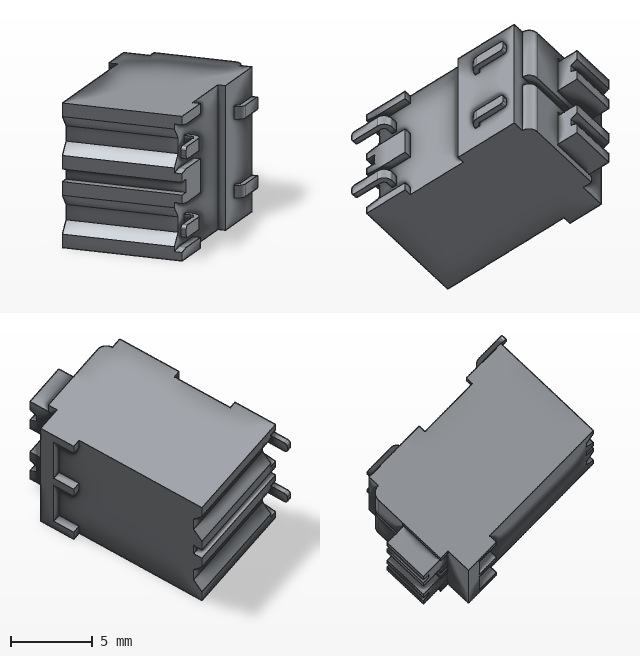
import cadquery as cq
import math


height = 9.2
body_width = 7.87
body_length = 11.59
cell_pitch = 5.0
cell_height = height - cell_pitch
cell_centers = (-cell_pitch / 2, cell_pitch / 2)
cell_gap = cell_pitch - cell_height

channel_depth = 0.62
channel_floor = 0.98
channel_slope = 0.75
channel_mouth = channel_floor + 2 * channel_slope

rail_thickness = 0.58
rail_front = 9.13
rail_window_end = 10.63
rail_outer_finger = 0.69
rail_middle_finger = 0.7
window_height = (height - 2 * rail_outer_finger - rail_middle_finger) / 2
window_offset = (rail_middle_finger + window_height) / 2

side_depth = 0.5
side_floor = body_width - side_depth
notch_front = 3.02
notch_back = 7.18

slot_height = 2.83
slot_flare = 0.137
pin_slot_taper = 0.72
lever_slot_curve = 0.23

boss_left = 1.16
boss_right = 7.07
boss_end = 12.24
boss_length = boss_end - body_length
lever_gap = 0.09
lever_left = boss_left + lever_gap
lever_width = 3.08
lever_right = lever_left + lever_width
lever_height = 2.66
lever_end = 13.66
lever_notch_depth = 0.47
lever_notch_mouth = 1.04
lever_notch_floor = 0.53

pin_outer_x = 8.43
pin_thickness = 0.35
pin_height = 0.8
pin_tip_round = 0.23
front_pin_root = 1.94
front_pin_tip = -0.72
front_pin_bend = 0.63
rear_pin_root = 8.55
rear_pin_tip = 11.17
rear_pin_bend = 0.52


def block(x0, x1, y0, y1, z0, z1):
    """Box between two opposite corners."""
    return cq.Workplane("XY").box(x1 - x0, y1 - y0, z1 - z0, centered=False).translate((x0, y0, z0))


def centered_block(x0, x1, y0, y1, z_mid, z_size):
    """Box given by its X and Y ranges and its height about a middle level."""
    return block(x0, x1, y0, y1, z_mid - z_size / 2, z_mid + z_size / 2)


def prism(profile, x0, x1):
    """Extrude a closed YZ profile from x0 to x1."""
    return profile.extrude(x1 - x0).translate((x0, 0, 0))


def front_channel(z_mid):
    """Trapezoidal channel along X in the front face."""
    profile = (
        cq.Workplane("YZ")
        .moveTo(0, z_mid - channel_mouth / 2)
        .lineTo(channel_depth, z_mid - channel_floor / 2)
        .lineTo(channel_depth, z_mid + channel_floor / 2)
        .lineTo(0, z_mid + channel_mouth / 2)
        .close()
    )
    return prism(profile, 0, body_width)


def pin_slot(z_mid):
    """Slot along Y for a front pin, narrowing from the front face and then straight up to the notch."""
    half = slot_height / 2
    half_mouth = half + slot_flare
    profile = (
        cq.Workplane("YZ")
        .moveTo(0, z_mid - half_mouth)
        .lineTo(pin_slot_taper, z_mid - half)
        .lineTo(notch_front, z_mid - half)
        .lineTo(notch_front, z_mid + half)
        .lineTo(pin_slot_taper, z_mid + half)
        .lineTo(0, z_mid + half_mouth)
        .close()
    )
    return prism(profile, side_floor, body_width)


def lever_slot(z_mid):
    """Slot around a lever whose upper and lower walls curve outward at the back."""
    half = slot_height / 2
    half_mouth = half + slot_flare
    curve_start = boss_end - lever_slot_curve
    upper_half = (
        cq.Workplane("YZ")
        .moveTo(body_length, 0)
        .lineTo(body_length, half)
        .lineTo(curve_start, half)
        .tangentArcPoint((boss_end, half_mouth), relative=False)
        .lineTo(boss_end, 0)
        .close()
    )
    upper = prism(upper_half, boss_left, lever_right + lever_gap)
    return upper.union(upper.mirror("XY")).translate((0, 0, z_mid))


def rail():
    """Raised rail with two windows that leave three fingers pointing to the front."""
    plate = centered_block(-rail_thickness, 0, rail_front, body_length, 0, height)
    for z_mid in (-window_offset, window_offset):
        plate = plate.cut(
            centered_block(-rail_thickness, 0, rail_front, rail_window_end, z_mid, window_height)
        )
    return plate


def boss(z_mid):
    """Back boss with one rounded corner and a flared slot around the lever."""
    shape = centered_block(boss_left, boss_right, body_length, boss_end, z_mid, cell_height)
    rounding_cutter = centered_block(
        boss_right - boss_length, boss_right, body_length, boss_end, z_mid, cell_height
    ).cut(
        cq.Workplane("XY")
        .center(boss_right - boss_length, body_length)
        .circle(boss_length)
        .extrude(cell_height)
        .translate((0, 0, z_mid - cell_height / 2))
    )
    return shape.cut(rounding_cutter).cut(lever_slot(z_mid))


def lever(z_mid):
    """Release lever with a tapered notch in its free end."""
    shape = centered_block(lever_left, lever_right, body_length, lever_end, z_mid, lever_height)
    notch_bottom = lever_end - lever_notch_depth
    notch = (
        cq.Workplane("YZ")
        .moveTo(lever_end, z_mid - lever_notch_mouth / 2)
        .lineTo(notch_bottom, z_mid - lever_notch_floor / 2)
        .lineTo(notch_bottom, z_mid + lever_notch_floor / 2)
        .lineTo(lever_end, z_mid + lever_notch_mouth / 2)
        .close()
    )
    return shape.cut(prism(notch, lever_left, lever_right))


def pin(root_y, tip_y, bend, z_mid):
    """Flat pin leaving the housing along X and bending along Y towards its tip."""
    toward_tip = math.copysign(1, tip_y - root_y)
    inner_x = pin_outer_x - pin_thickness
    inner_bend = bend - pin_thickness
    bend_x = pin_outer_x - bend
    bend_y = root_y + toward_tip * bend
    near_y = root_y + toward_tip * pin_thickness
    diagonal = math.sqrt(0.5)
    outer_mid = (bend_x + bend * diagonal, bend_y - toward_tip * bend * diagonal)
    inner_mid = (bend_x + inner_bend * diagonal, bend_y - toward_tip * inner_bend * diagonal)
    strip = (
        cq.Workplane("XY")
        .moveTo(side_floor, root_y)
        .lineTo(bend_x, root_y)
        .threePointArc(outer_mid, (pin_outer_x, bend_y))
        .lineTo(pin_outer_x, tip_y)
        .lineTo(inner_x, tip_y)
        .lineTo(inner_x, bend_y)
        .threePointArc(inner_mid, (bend_x, near_y))
        .lineTo(side_floor, near_y)
        .close()
        .extrude(pin_height)
        .translate((0, 0, z_mid - pin_height / 2))
    )
    tip_side = ">Y" if toward_tip > 0 else "<Y"
    return strip.faces(tip_side).edges("|X").fillet(pin_tip_round)


result = centered_block(0, body_width, 0, body_length, 0, height)
result = result.union(rail())
result = result.cut(centered_block(side_floor, body_width, notch_front, notch_back, 0, height))
result = result.cut(centered_block(0, body_width, 0, channel_depth, 0, cell_gap))

for cell_z in cell_centers:
    result = result.cut(front_channel(cell_z))
    result = result.cut(pin_slot(cell_z))

for cell_z in cell_centers:
    result = result.union(boss(cell_z))
    result = result.union(lever(cell_z))
    result = result.union(pin(front_pin_root, front_pin_tip, front_pin_bend, cell_z))
    result = result.union(pin(rear_pin_root, rear_pin_tip, rear_pin_bend, cell_z))